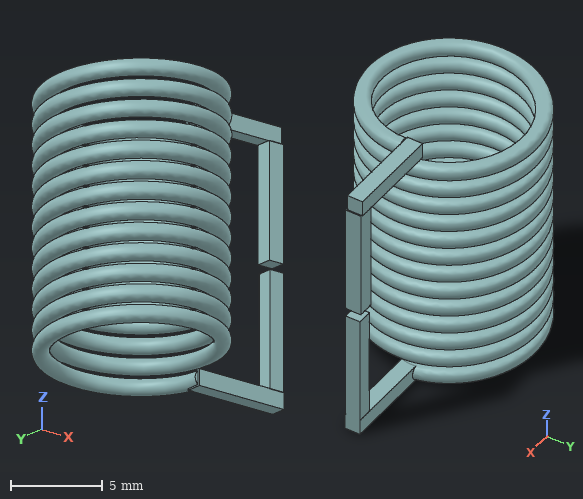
import cadquery as cq

WIRE_DIAMETER = 1.0
COIL_RADIUS = 5.0
PITCH = 1.2
TURNS = 13
COIL_RISE = PITCH * TURNS

LEAD_SIZE = 1.0
ARM_REACH = 6.0
POST_LENGTH = 7.0

UPPER_START_X = 4.62
UPPER_FRONT_Y = 0.0
UPPER_TOP_OFFSET = 0.42
UPPER_TOP_Z = COIL_RISE + UPPER_TOP_OFFSET
UPPER_BOTTOM_Z = UPPER_TOP_Z - LEAD_SIZE

LOWER_START_X = 4.7
LOWER_FRONT_Y = -0.13
LOWER_BOTTOM_Z = -WIRE_DIAMETER / 2
LOWER_TOP_Z = LOWER_BOTTOM_Z + LEAD_SIZE

OUTER_X = LOWER_START_X + ARM_REACH
POST_FRONT_Y = -0.07
UPPER_POST_SIZE = LEAD_SIZE
LOWER_POST_SIZE = 0.95


def make_arm(start_x, front_y, bottom_z):
    """Radial bar, placed by its lower front corner nearest the coil."""
    arm = cq.Workplane("XY").box(ARM_REACH, LEAD_SIZE, LEAD_SIZE, centered=False)
    return arm.translate((start_x, front_y, bottom_z))


def make_post(size, bottom_z):
    """Upright square bar against the outer plane and the front plane of the posts."""
    post = cq.Workplane("XY").box(size, size, POST_LENGTH, centered=False)
    return post.translate((OUTER_X - size, POST_FRONT_Y, bottom_z))


def make_coil():
    """Round wire swept along the helix."""
    helix = cq.Wire.makeHelix(PITCH, COIL_RISE, COIL_RADIUS)
    section = cq.Workplane("XZ").center(COIL_RADIUS, 0).circle(WIRE_DIAMETER / 2)
    return section.sweep(cq.Workplane(obj=helix), isFrenet=True)


def make_upper_lead():
    """Arm running outwards from the top of the coil, with a post hanging from its tip."""
    arm = make_arm(UPPER_START_X, UPPER_FRONT_Y, UPPER_BOTTOM_Z)
    post = make_post(UPPER_POST_SIZE, UPPER_BOTTOM_Z - POST_LENGTH)
    return arm.union(post)


def make_lower_lead():
    """Arm running outwards from the bottom of the coil, with a post standing on its tip."""
    arm = make_arm(LOWER_START_X, LOWER_FRONT_Y, LOWER_BOTTOM_Z)
    post = make_post(LOWER_POST_SIZE, LOWER_TOP_Z)
    return arm.union(post)


result = make_coil().union(make_upper_lead()).union(make_lower_lead())